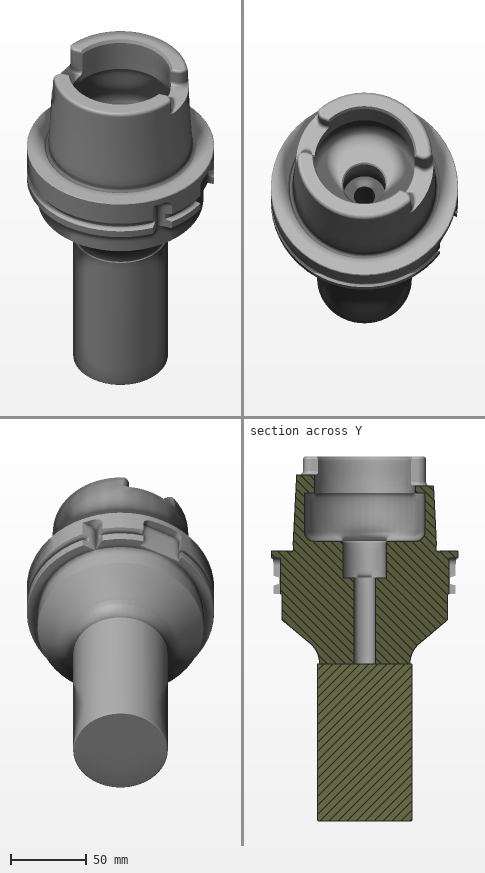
import cadquery as cq
import math

shank_length = 105.0
collar_bottom = 134.0
flange_bottom = 151.3
v_groove_middle = 160.0
flange_top = 180.2
taper_base = 183.9
total_height = 243.0

shank_diameter = 63.2
shank_end_chamfer = 0.7

neck_diameter = 60.7
collar_diameter = 110.5
cone_angle = 50.0
neck_radius = 17.0
flange_diameter = 124.9
flange_chamfer = 0.5
v_groove_diameter = 117.5
v_groove_floor_width = 4.1
v_groove_mouth_width = 6.5
relief_outer_diameter = 101.5
relief_floor_diameter = 99.5
relief_diameter = 95.2
relief_depth = 0.7
relief_fillet = 1.7
taper_base_diameter = 96.0
taper_rim_diameter = 89.9

mouth_diameter = 67.0
mouth_chamfer_width = 1.2
mouth_chamfer_depth = 2.2
mouth_bottom = 218.5
chamber_diameter = 80.2
chamber_floor = 186.5
chamber_fillet = 6.3
thread_diameter = 28.5
thread_depth = 24.3
thread_chamfer_diameter = 30.4
coolant_diameter = 14.0

keyway_width = 25.5
keyway_end_x = 41.0
keyway_corner_radius = 5.5
keyway_floor_fillet = 2.5
left_keyway_floor = 223.5
right_keyway_floor = 230.8
keyway_edge_fillet = 2.0
rim_fillet = 2.5

slot_width = 28.7
slot_floor_x = 56.4
slot_top = 175.1
slot_corner_radius = 4.5
notch_wall = 38.9
notch_top = 175.4
notch_fillet = 5.0

cut_clearance = 12.1


def make_shank():
    shank = cq.Workplane("XY").circle(shank_diameter / 2).extrude(shank_length)
    return shank.faces("<Z").edges().chamfer(shank_end_chamfer)


def revolve_about_axis(profile):
    """Turn a closed profile, drawn as (radius, height), around Z."""
    return profile.close().revolve(360, (0, 0, 0), (0, 1, 0))


def make_lower_blank():
    """Neck, cone, collar and flange with its V-groove, up to the flange face."""
    neck_r = neck_diameter / 2
    collar_r = collar_diameter / 2
    flange_r = flange_diameter / 2
    groove_r = v_groove_diameter / 2
    half_mouth = v_groove_mouth_width / 2
    half_floor = v_groove_floor_width / 2

    turn = math.radians(cone_angle)
    arc_end_r = neck_r + neck_radius * (1 - math.cos(turn))
    arc_end_z = collar_bottom - (collar_r - arc_end_r) / math.tan(turn)
    arc_start_z = arc_end_z - neck_radius * math.sin(turn)
    arc_mid_r = neck_r + neck_radius * (1 - math.cos(turn / 2))
    arc_mid_z = arc_start_z + neck_radius * math.sin(turn / 2)

    profile = (
        cq.Workplane("XZ")
        .moveTo(0, shank_length)
        .lineTo(neck_r, shank_length)
        .lineTo(neck_r, arc_start_z)
        .threePointArc((arc_mid_r, arc_mid_z), (arc_end_r, arc_end_z))
        .lineTo(collar_r, collar_bottom)
        .lineTo(collar_r, flange_bottom)
        .lineTo(flange_r - flange_chamfer, flange_bottom)
        .lineTo(flange_r, flange_bottom + flange_chamfer)
        .lineTo(flange_r, v_groove_middle - half_mouth)
        .lineTo(groove_r, v_groove_middle - half_floor)
        .lineTo(groove_r, v_groove_middle + half_floor)
        .lineTo(flange_r, v_groove_middle + half_mouth)
        .lineTo(flange_r, flange_top - flange_chamfer)
        .lineTo(flange_r - flange_chamfer, flange_top)
        .lineTo(relief_outer_diameter / 2, flange_top)
        .lineTo(relief_floor_diameter / 2, flange_top - relief_depth)
        .lineTo(0, flange_top - relief_depth)
    )
    return revolve_about_axis(profile)


def make_taper():
    """Hollow-shank taper, still solid, with the rounded relief at its foot."""
    foot_z = flange_top - relief_depth
    relief_r = relief_diameter / 2
    arc_offset = relief_fillet * (1 - math.sqrt(0.5))
    profile = (
        cq.Workplane("XZ")
        .moveTo(0, foot_z)
        .lineTo(relief_r + relief_fillet, foot_z)
        .threePointArc((relief_r + arc_offset, foot_z + arc_offset), (relief_r, foot_z + relief_fillet))
        .lineTo(relief_r, taper_base)
        .lineTo(taper_base_diameter / 2, taper_base)
        .lineTo(taper_rim_diameter / 2, total_height)
        .lineTo(0, total_height)
    )
    return revolve_about_axis(profile)


def keyway_cutter(floor_z):
    """Cutter for the keyway on the +X side, with rounded floor edges.

    Beyond the wall corners it clears everything outside keyway_end_x.
    """
    half_width = keyway_width / 2
    corner_start_x = keyway_end_x - keyway_corner_radius
    corner_end_y = half_width + keyway_corner_radius
    arc_x = corner_start_x + keyway_corner_radius * math.sqrt(0.5)
    arc_y = corner_end_y - keyway_corner_radius * math.sqrt(0.5)
    outer = taper_base_diameter / 2 + 2 * cut_clearance
    cutter = (
        cq.Workplane("XY", origin=(0, 0, floor_z))
        .moveTo(0, -half_width)
        .lineTo(corner_start_x, -half_width)
        .threePointArc((arc_x, -arc_y), (keyway_end_x, -corner_end_y))
        .lineTo(keyway_end_x, -outer)
        .lineTo(outer, -outer)
        .lineTo(outer, outer)
        .lineTo(keyway_end_x, outer)
        .lineTo(keyway_end_x, corner_end_y)
        .threePointArc((arc_x, arc_y), (corner_start_x, half_width))
        .lineTo(0, half_width)
        .close()
        .extrude(total_height - floor_z)
    )
    return cutter.faces("<Z").edges("not <X").fillet(keyway_floor_fillet)


def clamping_bore():
    """Mouth, undercut chamber, threaded hole and coolant hole as one turned cutter."""
    mouth_r = mouth_diameter / 2
    chamber_r = chamber_diameter / 2
    thread_r = thread_diameter / 2
    thread_chamfer_r = thread_chamfer_diameter / 2
    thread_chamfer = thread_chamfer_r - thread_r
    thread_bottom = chamber_floor - thread_depth
    fillet_top = chamber_floor + chamber_fillet
    arc_offset = chamber_fillet * (1 - math.sqrt(0.5))
    profile = (
        cq.Workplane("XZ")
        .moveTo(0, shank_length)
        .lineTo(coolant_diameter / 2, shank_length)
        .lineTo(coolant_diameter / 2, thread_bottom)
        .lineTo(thread_r, thread_bottom)
        .lineTo(thread_r, chamber_floor - thread_chamfer)
        .lineTo(thread_chamfer_r, chamber_floor)
        .lineTo(chamber_r - chamber_fillet, chamber_floor)
        .threePointArc((chamber_r - arc_offset, chamber_floor + arc_offset), (chamber_r, fillet_top))
        .lineTo(chamber_r, mouth_bottom)
        .lineTo(mouth_r, mouth_bottom)
        .lineTo(mouth_r, total_height - mouth_chamfer_depth)
        .lineTo(mouth_r + mouth_chamfer_width, total_height)
        .lineTo(0, total_height)
    )
    return revolve_about_axis(profile)


def gripper_slot(side):
    """Slot through the flange rim, open downward; side is +1 or -1 along X."""
    depth = flange_diameter / 2 + cut_clearance - slot_floor_x
    height = slot_top - flange_bottom
    centre_x = side * (slot_floor_x + depth / 2)
    slot = cq.Workplane("XY").box(depth, slot_width, height)
    slot = slot.faces(">Z").edges("|X").fillet(slot_corner_radius)
    return slot.translate((centre_x, 0, flange_bottom + height / 2))


def orientation_notch():
    """Square-cornered notch in the +X, -Y quadrant of the flange rim."""
    reach = flange_diameter / 2 + cut_clearance - notch_wall
    height = notch_top - flange_bottom
    centre = notch_wall + reach / 2
    notch = cq.Workplane("XY").box(reach, reach, height)
    notch = notch.faces(">Z").edges(">Y").fillet(notch_fillet)
    return notch.translate((centre, -centre, flange_bottom + height / 2))


def keyed_envelope():
    """Block around the taper that carries both keyways and their rounded upper edges."""
    size = taper_base_diameter + 2 * cut_clearance
    height = total_height - flange_bottom
    envelope = cq.Workplane("XY", origin=(0, 0, flange_bottom)).rect(size, size).extrude(height)
    left_cutter = keyway_cutter(left_keyway_floor).rotate((0, 0, 0), (0, 0, 1), 180)
    envelope = envelope.cut(keyway_cutter(right_keyway_floor)).cut(left_cutter)
    return envelope.faces(">Z").edges().fillet(keyway_edge_fillet)


def make_holder():
    taper = make_taper().faces(">Z").edges().fillet(rim_fillet)
    taper = taper.intersect(keyed_envelope())
    holder = make_lower_blank().union(taper)
    holder = holder.cut(clamping_bore())
    for side in (-1, 1):
        holder = holder.cut(gripper_slot(side))
    return holder.cut(orientation_notch())


shank = make_shank()
holder = make_holder()
result = cq.Compound.makeCompound([shank.val(), *holder.vals()])